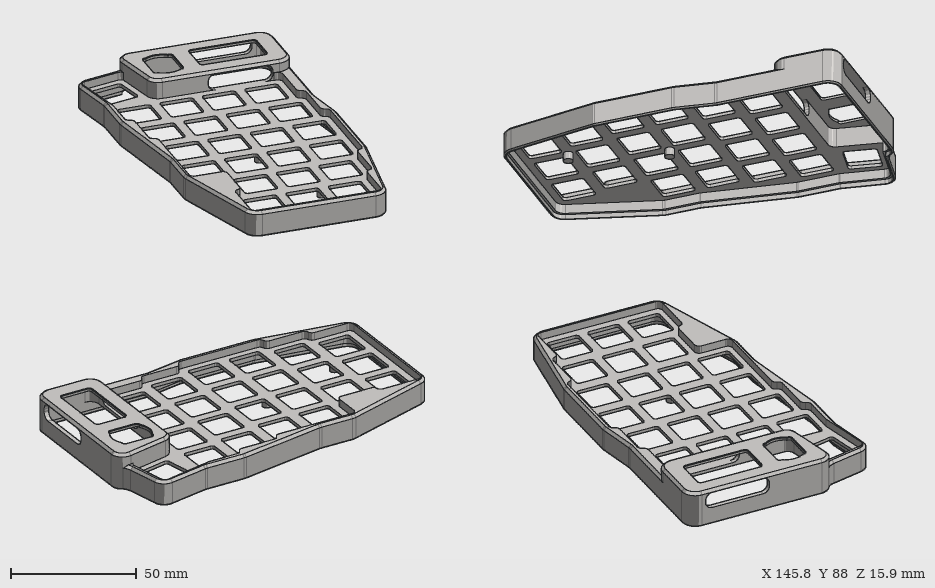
import cadquery as cq
import math

deck_height = 11.0
housing_height = 15.9
plate_top = 7.6
plate_thickness = 1.5
plate_bottom = plate_top - plate_thickness
ceiling = 1.3

length = 145.8
back_y = 88.0
corner_radius = 6.0
front_corner_radius = 5.1
notch_radius = 6.0
top_chamfer = 1.2
bottom_chamfer = 0.6

wall = 2.0
rebate_wall = 1.0
rebate_height = 2.0

thumb_angle = 12.0
thumb_slope = math.tan(math.radians(thumb_angle))
thumb_corner = (8.5, -0.9)
thumb_key = (18.0, 12.8)

key_size = 14.0
key_radius = 1.3
column_pitch = 19.0
row_pitch = 54.0 / 3
first_column_x = 38.8
highest_row_y = 75.7
stagger = 3.0
stagger_steps = [2, 1, 0, 0, 1, 2]
keys_per_column = [4, 4, 4, 4, 3, 3]

pocket_width = 20.4
pocket_back_margin = 9.9
pocket_front_margin = 9.5
pocket_radius = 2.0
thumb_pocket_length = 29.2
thumb_pocket_width = 19.8

housing_width = 28.5
housing_back_y = 84.9
housing_front_y = 19.0
inside_housing_x = 14.6
notch_overlap = 0.1

opening_chamfer = 0.3
display_x = (7.0, 21.0)
display_y = (48.3, 76.5)
display_radius = 1.3
knob_center = (14.7, 34.5)
knob_diameter = 16.6
knob_corner_width = 13.7
knob_corner_depth = 12.4
knob_corner_radius = 1.0
slot_front_y = 48.7
slot_outer_back_y = 77.1
slot_inner_back_y = 76.1
slot_radius = 2.9

post_diameter = 4.0
post_length = 3.4
post_places = [(86.2, 48.7), (124.8, 60.8)]


def column_x(column):
    return first_column_x + column * column_pitch


def key_y(column, row):
    return highest_row_y - stagger_steps[column] * stagger - row * row_pitch


def sketch_at(height):
    return cq.Workplane("XY", origin=(0, 0, height))


def block(x_range, y_range, bottom, top):
    size = (x_range[1] - x_range[0], y_range[1] - y_range[0], top - bottom)
    corner = (x_range[0], y_range[0], bottom)
    return cq.Workplane("XY", origin=corner).box(*size, centered=False)


def centered_block(center, width, depth, bottom, top):
    x, y = center
    return block((x - width / 2, x + width / 2), (y - depth / 2, y + depth / 2), bottom, top)


def turn_with_thumb(solid):
    x, y = thumb_key
    return solid.rotate((x, y, 0), (x, y, 1), thumb_angle)


def at_tray_bend(edge):
    """True at the bends of the tray outline to the right of the housing's middle."""
    return edge.Center().x > inside_housing_x + 0.1


def at_thumb_corner(edge):
    place = edge.Center()
    return place.x < inside_housing_x and place.y < pocket_front_margin


def at_notch(edge):
    """True at the inner corner where the thumb end meets the housing."""
    place = edge.Center()
    return place.x < 5.8 and 17.5 < place.y < 23.3


def tray_prism(inset, top):
    """Key tray from the floor up; the left end of its outline lies inside the housing."""
    points = [
        (inside_housing_x, housing_back_y),
        (51.6, housing_back_y),
        (68.8, back_y),
        (103.0, back_y),
        (length, 81.1),
        (length, 23.3),
        (103.8, 10.2),
        (88.1, 10.2),
        (49.1, 3.5),
        (31.0, 3.5),
        thumb_corner,
        (2.9, 24.8),
        (inside_housing_x, 36.5),
    ]
    outline = sketch_at(0).polyline(points).close()
    if inset > 0:
        outline = outline.offset2D(-inset)
    solid = outline.extrude(top)
    solid = solid.edges("|Z").filter(at_tray_bend).fillet(corner_radius - inset)
    return solid.edges("|Z").filter(at_thumb_corner).fillet(front_corner_radius - inset)


def housing_prism(inset, top):
    """Housing from the floor up; its front side climbs to the right at the thumb angle."""
    left = inset
    right = housing_width - inset
    back = housing_back_y - inset
    front = housing_front_y + inset
    rise = (right - left) * thumb_slope
    points = [(left, back), (right, back), (right, front + rise), (left, front)]
    solid = sketch_at(0).polyline(points).close().extrude(top)
    solid = solid.edges("|Z and >Y").fillet(corner_radius - inset)
    front_edges = solid.edges("|Z").filter(lambda edge: edge.Center().y < back / 2)
    return front_edges.fillet(front_corner_radius - inset)


def chamfered(solid):
    return solid.faces(">Z").chamfer(top_chamfer).faces("<Z").chamfer(bottom_chamfer)


def outer_body():
    """Tray and housing, with a rounded web that runs from the thumb end into the housing."""
    tray = tray_prism(0, deck_height).union(housing_prism(notch_overlap, deck_height))
    tray = tray.edges("|Z").filter(at_notch).fillet(notch_radius)
    return chamfered(tray).union(chamfered(housing_prism(0, housing_height)))


def keycap_pocket():
    """Stepped pocket over all keys, open to the wall of the housing."""
    cells = cq.Workplane("XY")
    for column, keys in enumerate(keys_per_column):
        x = column_x(column)
        x_range = (x - pocket_width / 2, x + pocket_width / 2)
        front = key_y(column, keys - 1) - pocket_front_margin
        back = key_y(column, 0) + pocket_back_margin
        cells = cells.add(block(x_range, (front, back), plate_top, deck_height))
    outline = cells.combine().faces(">Z").wires().toPending()
    outline = outline.offset2D(-pocket_radius).offset2D(2 * pocket_radius).offset2D(-pocket_radius)
    pocket = outline.extrude(plate_top - deck_height, combine=False)

    thumb_x = thumb_key[0] - thumb_pocket_width / 2
    thumb_y = thumb_key[1] - thumb_pocket_width / 2
    thumb = block(
        (thumb_x, thumb_x + thumb_pocket_length),
        (thumb_y, thumb_y + thumb_pocket_width),
        plate_top,
        deck_height,
    )
    thumb = turn_with_thumb(thumb.edges("|Z").fillet(pocket_radius))

    first_key_back = key_y(0, 0) + key_size / 2
    beside_x = (inside_housing_x, column_x(0))
    beside_housing = block(beside_x, (thumb_key[1], first_key_back), plate_top, deck_height)
    return pocket.union(thumb).union(beside_housing).cut(housing_prism(0, deck_height))


def underside():
    hollow = tray_prism(wall, plate_bottom).union(housing_prism(wall, housing_height - ceiling))
    rebate = tray_prism(rebate_wall, rebate_height).union(housing_prism(rebate_wall, rebate_height))
    return hollow.union(rebate)


def key_hole(center):
    hole = centered_block(center, key_size, key_size, 0, deck_height)
    return hole.edges("|Z").fillet(key_radius)


def key_holes():
    holes = turn_with_thumb(key_hole(thumb_key))
    for column, keys in enumerate(keys_per_column):
        for row in range(keys):
            holes = holes.add(key_hole((column_x(column), key_y(column, row))))
    return holes.combine()


def flared(cutter):
    """Adds a small 45 degree flare at the top of a cutter, for a chamfered opening."""
    rim = cutter.faces(">Z").wires().toPending().offset2D(opening_chamfer)
    return cutter.union(rim.extrude(-opening_chamfer, combine=False, taper=45))


def display_window():
    window = block(display_x, display_y, plate_top, housing_height)
    return flared(window.edges("|Z").fillet(display_radius))


def knob_opening():
    """Circle flattened at front and back, joined with a slightly cornered rectangle."""
    size = (knob_corner_width, knob_corner_depth)
    corners = centered_block(knob_center, *size, plate_top, housing_height)
    corners = corners.edges("|Z").fillet(knob_corner_radius)
    band = centered_block(knob_center, knob_diameter, knob_corner_depth, plate_top, housing_height)
    dial = sketch_at(plate_top).center(*knob_center).circle(knob_diameter / 2)
    dial = dial.extrude(housing_height - plate_top)
    return flared(corners.union(dial.intersect(band)))


def side_slot(x_range, slot_back_y):
    slot = block(x_range, (slot_front_y, slot_back_y), plate_top, housing_height - ceiling)
    return slot.edges("|X").fillet(slot_radius)


def screw_posts():
    posts = sketch_at(plate_bottom).pushPoints(post_places)
    return posts.circle(post_diameter / 2).extrude(-post_length)


result = outer_body().cut(keycap_pocket()).cut(underside()).cut(key_holes())
result = result.cut(display_window()).cut(knob_opening())
result = result.cut(side_slot((0, inside_housing_x), slot_outer_back_y))
result = result.cut(side_slot((inside_housing_x, housing_width), slot_inner_back_y))
result = result.union(screw_posts())